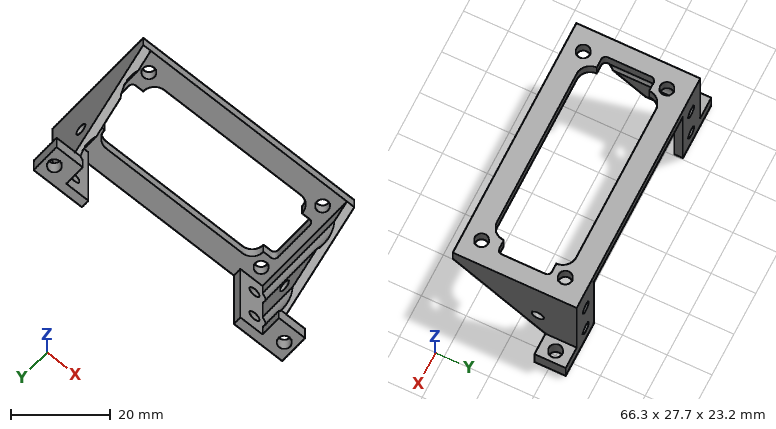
import cadquery as cq


plate_length = 56.3
plate_depth = 27.7
plate_thickness = 3.0
total_height = 23.2
plate_underside = total_height - plate_thickness

window_end_margin = 7.0
window_side_margin = 5.0
window_length = plate_length - 2 * window_end_margin
window_depth = plate_depth - 2 * window_side_margin
window_corner_radius = 3.0
slot_end_margin = 4.0
slot_length = plate_length - 2 * slot_end_margin
slot_depth = window_depth - 2 * window_corner_radius
slot_corner_radius = 1.0

plate_hole_diameter = 3.0
plate_hole_end_margin = 5.0
plate_hole_back_margin = 5.0
plate_hole_front_margin = 4.0

wall_thickness = 2.0
flange_width = 7.9
flange_thickness = 2.0

flange_hole_diameter = 2.7
flange_hole_spacing_x = 48.0
flange_hole_heights = (5.1, 15.1)
groove_diameter = 6.0

wall_hole_diameter = 2.7
wall_hole_y = -8.7
wall_hole_z = 11.1

foot_depth = 7.0
foot_height = 3.9
foot_reach = 5.0
foot_hole_diameter = 3.0
foot_hole_offset = foot_reach / 2
foot_hole_y = -foot_depth / 2

LEFT = -1
RIGHT = 1
SIDES = (LEFT, RIGHT)
half_length = plate_length / 2


def block(x_start, x_end, depth, z_start, z_end):
    """Box between two X positions and two Z positions, running forward from the back face."""
    corner = cq.Vector(min(x_start, x_end), -depth, z_start)
    return cq.Workplane(cq.Solid.makeBox(abs(x_end - x_start), depth, z_end - z_start, corner))


def upright_cylinder(x, y, diameter):
    """Cylinder along Z through the full height of the part."""
    return cq.Workplane("XY").center(x, y).circle(diameter / 2).extrude(total_height)


def forward_cylinder(x, z, diameter, start, length):
    """Cylinder running in -Y from a distance in front of the back face."""
    return cq.Workplane("XZ", origin=(x, -start, z)).circle(diameter / 2).extrude(length)


def rounded_opening(length, depth, corner_radius):
    """Rounded rectangle through the plate, centred on it."""
    return (
        cq.Workplane("XY", origin=(0, -plate_depth / 2, plate_underside))
        .rect(length, depth)
        .extrude(plate_thickness)
        .edges("|Z")
        .fillet(corner_radius)
    )


def make_window():
    middle = rounded_opening(window_length, window_depth, window_corner_radius)
    slot = rounded_opening(slot_length, slot_depth, slot_corner_radius)
    return middle.union(slot)


def make_plate():
    plate = block(-half_length, half_length, plate_depth, plate_underside, total_height)
    plate = plate.cut(make_window())
    for side_x in SIDES:
        x = side_x * (half_length - plate_hole_end_margin)
        for y in (-plate_hole_back_margin, plate_hole_front_margin - plate_depth):
            plate = plate.cut(upright_cylinder(x, y, plate_hole_diameter))
    return plate


def make_wall(side):
    """Side wall whose front edge slopes from the foot up to the front of the plate."""
    outline = [
        (0, 0),
        (-foot_depth, 0),
        (-foot_depth, foot_height),
        (-plate_depth, plate_underside),
        (0, plate_underside),
    ]
    outer_x = side * half_length
    return cq.Workplane("YZ", origin=(outer_x, 0, 0)).polyline(outline).close().extrude(-side * wall_thickness)


def make_leg(side):
    """Side wall, back flange and foot of one end, with their holes and grooves."""
    outer_x = side * half_length
    flange = block(outer_x, outer_x - side * flange_width, flange_thickness, 0, plate_underside)
    foot = block(outer_x, outer_x + side * foot_reach, foot_depth, 0, foot_height)
    leg = make_wall(side).union(flange).union(foot)

    screw_x = side * flange_hole_spacing_x / 2
    groove_length = plate_depth - flange_thickness
    for z in flange_hole_heights:
        leg = leg.cut(forward_cylinder(screw_x, z, flange_hole_diameter, 0, flange_thickness))
        leg = leg.cut(forward_cylinder(screw_x, z, groove_diameter, flange_thickness, groove_length))

    wall_hole = (
        cq.Workplane("YZ", origin=(outer_x, wall_hole_y, wall_hole_z))
        .circle(wall_hole_diameter / 2)
        .extrude(-side * wall_thickness)
    )
    foot_hole = upright_cylinder(outer_x + side * foot_hole_offset, foot_hole_y, foot_hole_diameter)
    return leg.cut(wall_hole).cut(foot_hole)


result = make_plate()
result = result.union(make_leg(LEFT))
result = result.union(make_leg(RIGHT))